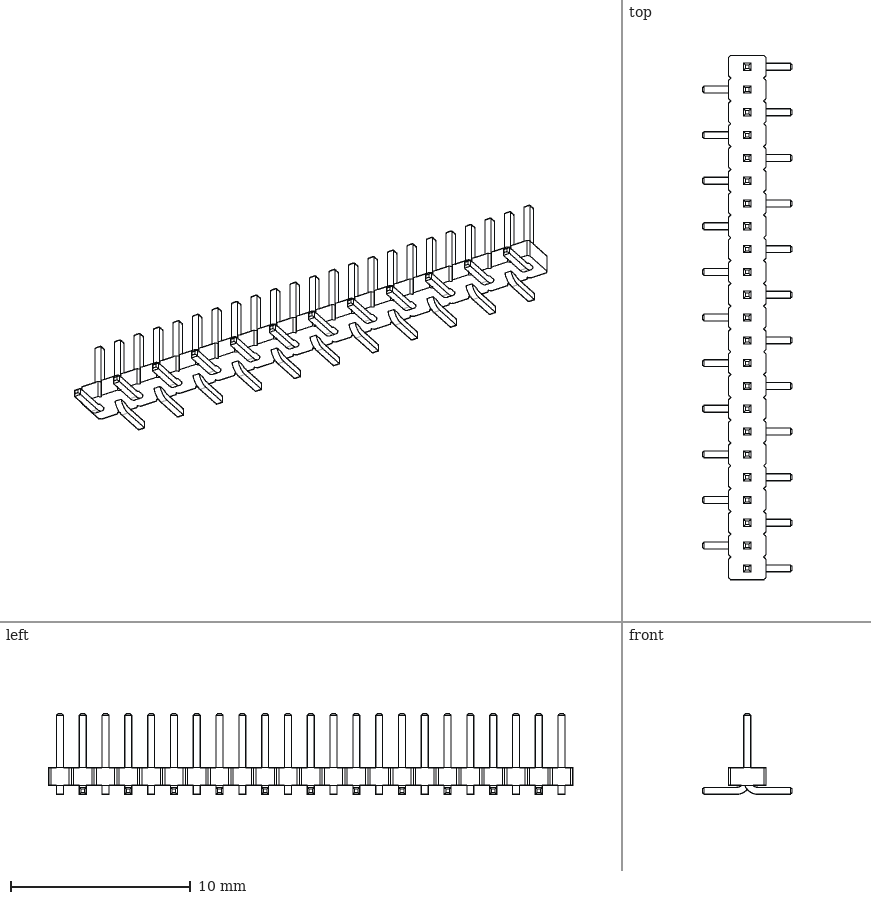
import cadquery as cq
import math

pin_count = 23
pitch = 1.27
pin_width = 0.4
tip_chamfer = 0.1
total_height = 4.5
leg_span = 5.0

body_width = 2.1
body_height = 1.0
body_bottom = 0.5
cell_bevel = pitch / 10

half_pin = pin_width / 2
bend_inner_radius = pin_width
bend_outer_radius = bend_inner_radius + pin_width
bend_center_x = half_pin + bend_inner_radius
bend_center_z = bend_outer_radius


def make_cell(y):
    """One body cell, bevelled on its four vertical edges."""
    return (
        cq.Workplane("XY")
        .box(body_width, pitch, body_height, centered=(True, True, False))
        .edges("|Z")
        .chamfer(cell_bevel)
        .translate((0, y, body_bottom))
    )


def bend_midpoint(radius, side):
    """Point halfway round a bend arc, at 45 degrees below the bend center."""
    offset = radius * math.sqrt(0.5)
    return (side * (bend_center_x - offset), bend_center_z - offset)


def make_pin(y, side):
    """Bent square wire with its leg pointing toward side (+1 for +X, -1 for -X)."""
    leg_tip_x = side * leg_span / 2
    inner_x = side * half_pin
    outer_x = -side * half_pin
    leg_start_x = side * bend_center_x
    wire = (
        cq.Workplane("XZ")
        .moveTo(outer_x, bend_center_z)
        .lineTo(outer_x, total_height)
        .lineTo(inner_x, total_height)
        .lineTo(inner_x, bend_center_z)
        .threePointArc(bend_midpoint(bend_inner_radius, side), (leg_start_x, pin_width))
        .lineTo(leg_tip_x, pin_width)
        .lineTo(leg_tip_x, 0)
        .lineTo(leg_start_x, 0)
        .threePointArc(bend_midpoint(bend_outer_radius, side), (outer_x, bend_center_z))
        .close()
        .extrude(half_pin, both=True)
    )
    leg_end = ">X" if side > 0 else "<X"
    wire = wire.faces(">Z").chamfer(tip_chamfer)
    wire = wire.faces(leg_end).chamfer(tip_chamfer)
    return wire.translate((0, y, 0))


first_y = -(pin_count - 1) * pitch / 2
cells = []
pins = []
for index in range(pin_count):
    pin_y = first_y + index * pitch
    leg_side = 1 if index % 2 == 0 else -1
    cells.append(make_cell(pin_y).val())
    pins.append(make_pin(pin_y, leg_side).val())

body = cells[0].fuse(*cells[1:]).clean()
header = body.fuse(*pins)
result = cq.Workplane("XY").newObject(header.Solids())